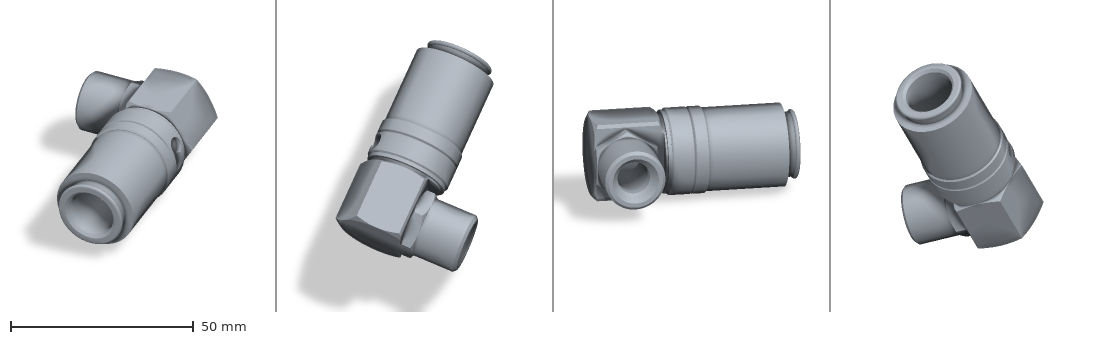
import cadquery as cq
import math


chamfer_slope = math.tan(math.radians(30))
nut_flats = 17.0
block_flats = 22.0
block_left_x = -6.9
top_y = nut_flats / 2

block_length = 18.85
neck_length = 1.0
neck_flat_length = 0.5
neck_diameter = 21.0
barrel_diameter = 23.0
barrel_end_y = -44.9
collar_diameter = 24.0
collar_chamfer = 0.4
wide_collar_start_y = -12.4
wide_collar_length = 6.45
narrow_collar_length = 4.05

spigot_diameter = 17.95
end_y = -48.5
lip_length = 1.25
lip_height = 0.55

bore_diameter = 9.1
bore_top_y = 4.8
counterbore_diameter = 13.45
counterbore_floor_y = -11.4
mouth_chamfer = 0.75

port_end_x = -23.3
port_diameter = 16.75
port_chamfer = 0.8
nut_length = 3.9
port_bore_diameter = 9.0
port_mouth_diameter = 12.75
port_mouth_depth = 3.2

pocket_angle = 25.0
pocket_y = -15.5
pocket_diameter = 4.95
slot_width = 3.2
slot_length = 5.1

block_bottom_y = top_y - block_length
neck_end_y = block_bottom_y - neck_length


def cylinder_y(diameter, start_y, end_y):
    """Cylinder on the main axis, running from start_y down to end_y."""
    return cq.Workplane("XZ", origin=(0, start_y, 0)).circle(diameter / 2).extrude(start_y - end_y)


def cylinder_x(diameter, start_x, end_x):
    """Cylinder on the side port axis, running from start_x up to end_x."""
    return cq.Workplane("YZ", origin=(start_x, 0, 0)).circle(diameter / 2).extrude(end_x - start_x)


def corner_chamfered_hexagon(plane, flats, length, corner_angle):
    """Hexagonal prism whose corners are turned off by a 30 degree cone at both ends."""
    corner_diameter = flats / math.cos(math.radians(30))
    corner_step = (corner_diameter - flats) / 2
    corner_drop = corner_step * chamfer_slope
    prism = plane.transformed(rotate=(0, 0, corner_angle)).polygon(6, corner_diameter).extrude(length)
    turned = plane.circle(corner_diameter / 2).extrude(length)
    turned = turned.edges().chamfer(corner_drop, corner_step)
    return prism.intersect(turned)


def make_block():
    """Hexagonal elbow block and neck, sliced flat on the side port side."""
    block_plane = cq.Workplane("XZ", origin=(0, top_y, 0))
    block = corner_chamfered_hexagon(block_plane, block_flats, block_length, 0)
    block = block.union(cylinder_y(neck_diameter, block_bottom_y, neck_end_y))
    cut_length = block_length + neck_flat_length
    left_waste = cq.Workplane("XY").box(
        block_flats, cut_length, 2 * block_flats, centered=(False, False, True)
    ).translate((block_left_x - block_flats, top_y - cut_length, 0))
    return block.cut(left_waste)


def make_collar(start_y, length):
    collar = cylinder_y(collar_diameter, start_y, start_y - length)
    return collar.edges().chamfer(collar_chamfer)


def make_body():
    """Barrel with its two collars."""
    narrow_collar_start_y = wide_collar_start_y - wide_collar_length
    barrel = cylinder_y(barrel_diameter, neck_end_y, barrel_end_y)
    barrel = barrel.union(make_collar(wide_collar_start_y, wide_collar_length))
    return barrel.union(make_collar(narrow_collar_start_y, narrow_collar_length))


def make_spigot():
    """Spigot whose open end carries a lip with an arc profile."""
    radius = spigot_diameter / 2
    lip_start_y = end_y + lip_length
    return (
        cq.Workplane("XY")
        .moveTo(0, barrel_end_y)
        .lineTo(radius, barrel_end_y)
        .lineTo(radius, lip_start_y)
        .threePointArc((radius + lip_height, end_y + lip_length / 2), (radius, end_y))
        .lineTo(0, end_y)
        .close()
        .revolve(360, (0, 0, 0), (0, 1, 0))
    )


def make_side_port():
    """Tube along -X with a hexagonal nut against the block."""
    tube = cylinder_x(port_diameter, port_end_x, block_left_x)
    tube = tube.faces("<X").edges().chamfer(port_chamfer)
    nut_plane = cq.Workplane("YZ", origin=(block_left_x - nut_length, 0, 0))
    return tube.union(corner_chamfered_hexagon(nut_plane, nut_flats, nut_length, 90))


def make_main_bore():
    """Stepped bore along the main axis with a chamfered mouth."""
    bore = cylinder_y(bore_diameter, bore_top_y, end_y)
    bore = bore.union(cylinder_y(counterbore_diameter, counterbore_floor_y, end_y))
    mouth_radius = counterbore_diameter / 2 + mouth_chamfer
    mouth = cq.Workplane("XY").add(
        cq.Solid.makeCone(
            mouth_radius, mouth_radius - mouth_chamfer, mouth_chamfer,
            pnt=cq.Vector(0, end_y, 0), dir=cq.Vector(0, 1, 0),
        )
    )
    return bore.union(mouth)


def make_port_bore():
    """Bore of the side port up to the main axis, with a conical mouth."""
    bore = cylinder_x(port_bore_diameter, port_end_x, 0)
    mouth = cq.Workplane("XY").add(
        cq.Solid.makeCone(
            port_mouth_diameter / 2, port_bore_diameter / 2, port_mouth_depth,
            pnt=cq.Vector(port_end_x, 0, 0), dir=cq.Vector(1, 0, 0),
        )
    )
    return bore.union(mouth)


def make_keyhole_pocket():
    """Radial hole with a round-ended slot leading towards -Z, tangent to the hole's -Y side."""
    depth = collar_diameter
    slot_drop = (pocket_diameter - slot_width) / 2
    plane = cq.Workplane("YZ", origin=(0, pocket_y, 0))
    hole = plane.circle(pocket_diameter / 2).extrude(depth)
    slot = plane.center(-slot_drop, -slot_length / 2).rect(slot_width, slot_length).extrude(depth)
    slot_end = plane.center(-slot_drop, -slot_length).circle(slot_width / 2).extrude(depth)
    keyhole = hole.union(slot).union(slot_end).rotate((0, 0, 0), (0, 1, 0), -pocket_angle)
    return keyhole.cut(cylinder_y(neck_diameter, neck_end_y, barrel_end_y))


result = (
    make_block()
    .union(make_body())
    .union(make_spigot())
    .union(make_side_port())
    .cut(make_main_bore())
    .cut(make_port_bore())
    .cut(make_keyhole_pocket())
)